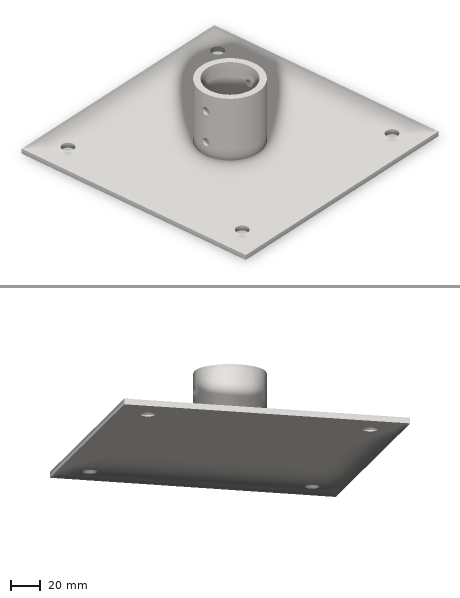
import cadquery as cq

plate_side = 200
plate_thickness = 4
mount_hole_diameter = 10
mount_hole_spacing = 155.5

socket_outer_diameter = 50
socket_bore_diameter = 40
socket_height = 50

cross_hole_diameter = 6
lower_cross_hole_height = 11.0
cross_hole_spacing = 25.0


def make_plate():
    return (
        cq.Workplane("XY")
        .rect(plate_side, plate_side)
        .extrude(plate_thickness)
        .faces(">Z")
        .workplane()
        .rect(mount_hole_spacing, mount_hole_spacing, forConstruction=True)
        .vertices()
        .hole(mount_hole_diameter)
    )


def make_socket():
    tube = (
        cq.Workplane("XY")
        .workplane(offset=plate_thickness)
        .circle(socket_outer_diameter / 2)
        .circle(socket_bore_diameter / 2)
        .extrude(socket_height)
    )
    lower_z = plate_thickness + lower_cross_hole_height
    cross_holes = (
        cq.Workplane("XZ")
        .pushPoints([(0, lower_z), (0, lower_z + cross_hole_spacing)])
        .circle(cross_hole_diameter / 2)
        .extrude(socket_outer_diameter, both=True)
    )
    return tube.cut(cross_holes)


result = make_plate().union(make_socket())